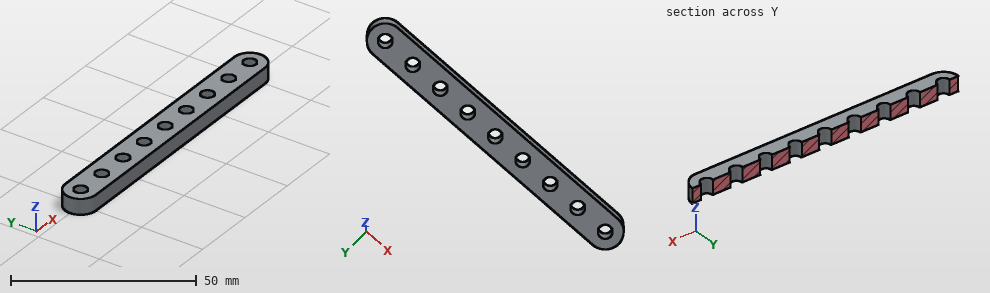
import cadquery as cq

length = 90.0
hole_count = 9
thickness = 5.0
hole_diameter = 4.0

pitch = length / hole_count
width = pitch

bar = cq.Workplane("XY").slot2D(length, width).extrude(thickness)

result = (
    bar.faces(">Z")
    .workplane()
    .rarray(pitch, pitch, hole_count, 1)
    .hole(hole_diameter)
)